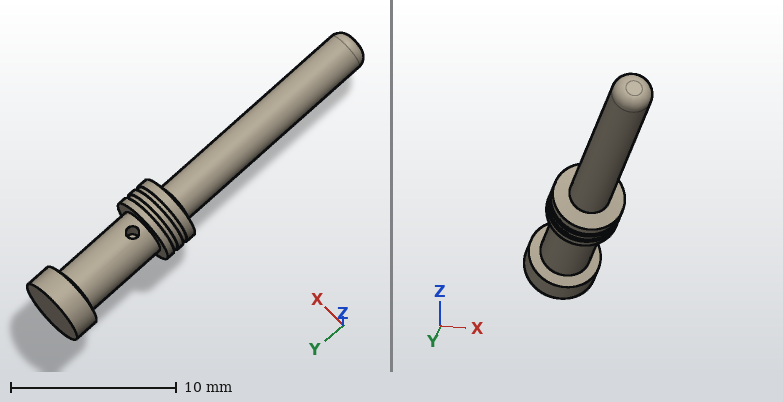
import cadquery as cq

total_length = 25.0
outer_diameter = 4.42
barrel_diameter = 3.08
pin_diameter = 2.5
tip_radius = 0.75

head_rim_length = 1.62
head_cone_length = 0.22

collar_start = 7.5
collar_rim_end = 9.75
collar_cone_length = 0.3
groove_starts = (8.02, 8.78)
groove_width = 0.32
groove_depth = 0.08

inspection_hole_diameter = 0.8
inspection_hole_position = 6.65

back_y = total_length / 2


def turned_section(start, end, diameter):
    """Cylinder between two distances from the back face."""
    plane = cq.Plane(origin=(0, back_y - start, 0), xDir=(1, 0, 0), normal=(0, -1, 0))
    return cq.Workplane(plane).circle(diameter / 2).extrude(end - start)


def cone_section(start, length, small_diameter):
    """Cone narrowing from the outer diameter towards the tip."""
    plane = cq.Plane(origin=(0, back_y - start, 0), xDir=(1, 0, 0), normal=(0, -1, 0))
    return (
        cq.Workplane(plane)
        .circle(outer_diameter / 2)
        .workplane(offset=length)
        .circle(small_diameter / 2)
        .loft(ruled=True)
    )


def collar_groove(start):
    """Ring to cut away for one shallow groove in the collar."""
    end = start + groove_width
    outside = turned_section(start, end, outer_diameter + 2 * groove_depth)
    floor = turned_section(start, end, outer_diameter - 2 * groove_depth)
    return outside.cut(floor)


pin = turned_section(collar_start, total_length, pin_diameter).faces("<Y").edges().fillet(tip_radius)

head = turned_section(0, head_rim_length, outer_diameter)
head = head.union(cone_section(head_rim_length, head_cone_length, barrel_diameter))
barrel = turned_section(0, collar_start, barrel_diameter)

collar = turned_section(collar_start, collar_rim_end, outer_diameter)
collar = collar.union(cone_section(collar_rim_end, collar_cone_length, pin_diameter))
for groove_start in groove_starts:
    collar = collar.cut(collar_groove(groove_start))

inspection_hole = (
    cq.Workplane("XY")
    .center(0, back_y - inspection_hole_position)
    .circle(inspection_hole_diameter / 2)
    .extrude(barrel_diameter)
)

result = head.union(barrel).union(collar).union(pin).cut(inspection_hole)